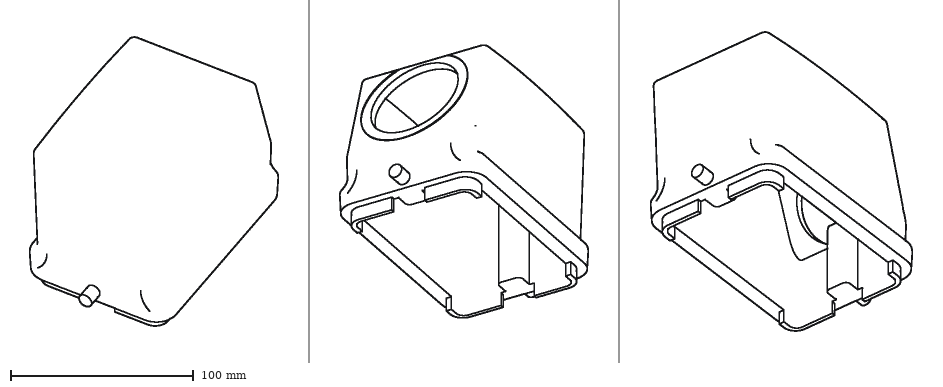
import cadquery as cq
import math

clearance = 2.0

half_length = 66.0
skirt_half_width = 45.0
body_half_width = 40.0
end_draft = math.tan(math.radians(0.5))
slant = math.tan(math.radians(20))
knee_height = 32.7
knee_radius = 15.0
loft_height = 97.0
roof_apex_height = 93.86
roof_apex_y = -6.5
roof_radius = 550.0
roof_edge_radius = 3.0

underside_corner_radius = 12.5
flare_corner_radius = 10.4
loft_corner_radius = 3.1

flare_radius = 6.0
shoulder_radius = 3.0
skirt_side_height = 12.0
flare_axis_x = body_half_width + flare_radius
arc_center_run = flare_axis_x - (skirt_half_width - shoulder_radius)
arc_center_rise = math.sqrt((flare_radius + shoulder_radius) ** 2 - arc_center_run**2)
flare_height = skirt_side_height + arc_center_rise
shoulder_height = flare_height - math.sqrt(flare_radius**2 - (flare_axis_x - skirt_half_width) ** 2)

cavity_half_width = 36.0
cavity_half_length = 58.5
cavity_corner_radius = 5.0
roof_thickness = 4.0
cable_wall = 5.2

entry_center_y = 54.5
entry_diameter = 54.0
entry_depth = 12.6
seat_diameter = 66.0
seat_depth = 0.5

foot_height = 8.0
foot_outer_x = 39.3
foot_outer_y = 60.9
foot_inner_x = 10.4
foot_inner_y = 48.6
foot_corner_radius = 8.0

pin_diameter = 8.0
pin_height = 6.5
pin_end_y = 75.0
rib_width = 15.0
rib_corner_radius = 3.0
rib_face_y = foot_inner_y


def corner_radius(z):
    """Radius of the upright corners at height z."""
    if z < flare_height:
        growth = max(1 - z / shoulder_height, 0)
        return flare_corner_radius + (underside_corner_radius - flare_corner_radius) * growth
    rise = (z - flare_height) / (loft_height - flare_height)
    return flare_corner_radius + (loft_corner_radius - flare_corner_radius) * rise


def end_y(z):
    """Distance from the middle to the drafted end faces at height z."""
    return half_length - end_draft * z


def leaning_y(z):
    """Y of the leaning cable face at height z."""
    return end_y(knee_height) - slant * (z - knee_height)


def section(z, half_width, front, back):
    """Rounded rectangle at height z that spans front to back along Y."""
    outline = cq.Sketch().rect(2 * half_width, back - front).vertices().fillet(corner_radius(z))
    return outline.moved(cq.Location(cq.Vector(0, (front + back) / 2, z)))


def ruled_hull(sections):
    return cq.Workplane("XY").placeSketch(*sections).loft(ruled=True)


def flare_cutter():
    """Ring along Y that hollows the shoulder and opens like a trumpet round the corners."""
    end = end_y(flare_height)
    straight_end = end - flare_corner_radius
    mouth_radius = flare_radius + flare_corner_radius
    arc_inset = flare_corner_radius * math.sqrt(0.5)
    return (
        cq.Workplane("XY")
        .moveTo(0, -end - clearance)
        .lineTo(mouth_radius, -end - clearance)
        .lineTo(mouth_radius, -end)
        .threePointArc((mouth_radius - arc_inset, -straight_end - arc_inset), (flare_radius, -straight_end))
        .lineTo(flare_radius, straight_end)
        .threePointArc((mouth_radius - arc_inset, straight_end + arc_inset), (mouth_radius, end))
        .lineTo(mouth_radius, end + clearance)
        .lineTo(0, end + clearance)
        .close()
        .revolve(360, (0, 0, 0), (0, 1, 0))
        .translate((flare_axis_x, 0, flare_height))
    )


def skirt():
    """Wide base whose shoulders sweep in to the body and fade out at the end faces."""
    heights = (0, shoulder_height, flare_height)
    block = ruled_hull([section(z, skirt_half_width, -end_y(z), end_y(z)) for z in heights])
    cutter = flare_cutter()
    block = block.cut(cutter).cut(cutter.mirror("YZ"))
    for side in (-1, 1):
        shoulder = cq.selectors.NearestToPointSelector((side * skirt_half_width, 0, shoulder_height))
        block = block.edges(shoulder).fillet(shoulder_radius)
    return block


def roof_cylinder(radius):
    """Cylinder across the hood, about the axis of the roof arc."""
    return (
        cq.Workplane("YZ")
        .center(roof_apex_y, roof_apex_height - roof_radius)
        .circle(radius)
        .extrude(skirt_half_width, both=True)
    )


def body():
    """Tall part of the hood, with the leaning cable face and the arched roof."""
    heights = (flare_height, loft_height)
    upright = ruled_hull([section(z, body_half_width, -end_y(z), end_y(z)) for z in heights])
    leaning = ruled_hull([section(z, body_half_width, -2 * half_length, leaning_y(z)) for z in heights])
    knee = cq.selectors.NearestToPointSelector((0, end_y(knee_height), knee_height))
    hull = upright.intersect(leaning).edges(knee).fillet(knee_radius)
    hull = hull.intersect(roof_cylinder(roof_radius))
    return hull.faces(">Z").edges().fillet(roof_edge_radius)


def cavity():
    """Straight-walled pocket below a roof and a leaning wall of even thickness."""
    wall_along_y = cable_wall * math.hypot(1, slant)
    lean_start_z = knee_height + (end_y(knee_height) - wall_along_y - cavity_half_length) / slant
    pocket = (
        cq.Workplane("YZ")
        .moveTo(-cavity_half_length, -foot_height)
        .lineTo(cavity_half_length, -foot_height)
        .lineTo(cavity_half_length, lean_start_z)
        .lineTo(leaning_y(loft_height) - wall_along_y, loft_height)
        .lineTo(-cavity_half_length, loft_height)
        .close()
        .extrude(cavity_half_width, both=True)
        .edges("|Z")
        .fillet(cavity_corner_radius)
    )
    return pocket.intersect(roof_cylinder(roof_radius - roof_thickness))


def feet():
    """Four corner feet: a ring with a gap in each side."""
    ring = (
        cq.Workplane("XY")
        .rect(2 * foot_outer_x, 2 * foot_outer_y)
        .extrude(-foot_height)
        .edges("|Z")
        .fillet(foot_corner_radius)
    )
    side_gap = cq.Workplane("XY").rect(2 * skirt_half_width, 2 * foot_inner_y).extrude(-foot_height)
    end_gap = cq.Workplane("XY").rect(2 * foot_inner_x, 2 * half_length).extrude(-foot_height)
    return ring.cut(side_gap).cut(end_gap)


def pin_ribs(room):
    """Full-height ribs inside both end walls, kept within the cavity."""
    depth = half_length - rib_face_y
    rib = (
        cq.Workplane("XY")
        .box(rib_width, depth, loft_height, centered=(True, False, False))
        .edges("|Z and <Y")
        .fillet(rib_corner_radius)
        .translate((0, rib_face_y, 0))
    )
    return rib.union(rib.mirror("XZ")).intersect(room)


def cable_entry():
    """Stepped cutter: a shallow seat in the leaning face, then the entry bore."""
    center_z = knee_height + (end_y(knee_height) - entry_center_y) / slant
    outward = (0, 1, slant)
    face = cq.Workplane(cq.Plane((0, entry_center_y, center_z), (1, 0, 0), outward))
    seat = face.circle(seat_diameter / 2).extrude(-seat_depth)
    bore = face.circle(entry_diameter / 2).extrude(-entry_depth)
    return seat.union(bore)


def pins():
    """Locking pins on both ends, rooted in the ribs."""
    root_y = rib_face_y + rib_corner_radius
    pin = cq.Workplane("XZ", (0, pin_end_y, pin_height)).circle(pin_diameter / 2).extrude(pin_end_y - root_y)
    return pin.union(pin.mirror("XZ"))


room = cavity()
shell = skirt().union(body()).union(feet()).cut(room)
result = shell.union(pin_ribs(room)).cut(cable_entry()).union(pins())